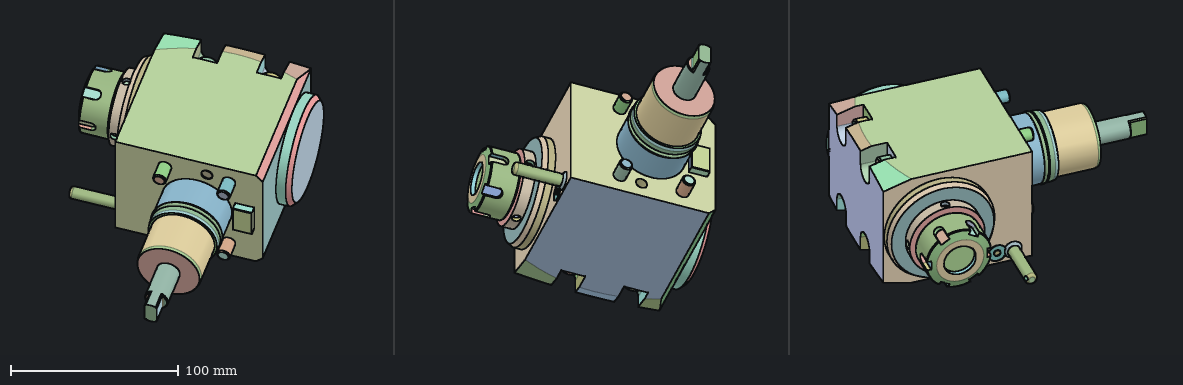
import cadquery as cq
import math


HOUSING_LEFT = -51.3
HOUSING_RIGHT = 41.3
HOUSING_DEPTH = 95.0
HOUSING_HEIGHT = 78.0
LONG_EDGE_CHAMFER = 4.3
SPINDLE_Y = 60.0

RELIEF_ANGLE = 15
RELIEF_RADIUS = 372
RELIEF_CENTER_X = -3.5
RELIEF_EDGE_DROP = 1.77
RELIEF_LENGTH = 27.9

SCREW_X = 20.0
SCREW_Z = 27.3
SCREW_RADIUS = 4.0
SCREW_LENGTH = 11.5
SCREW_TIP_CHAMFER = 0.7
SCREW_HEAD_RADIUS = 6.5
SCREW_HEAD_LENGTH = 8.0
SCREW_HEAD_CHAMFER = 1.0
NOTCH_WIDTH = 15.3
NOTCH_DEPTH = 17.0

DOWEL_HOLE_X = 6.1
DOWEL_HOLE_Z = 28.8
DOWEL_HOLE_RADIUS = 3.5
UPPER_DOWEL_HOLE_DEPTH = 0.7
LOWER_DOWEL_HOLE_DEPTH = 7.5
KEY_LEFT = 24.0
KEY_WIDTH = 11.9
KEY_HEIGHT = 19.3
KEY_LENGTH = 4.8
KEY_CHAMFER = 0.4

FLANGE_RADIUS = 22.0
GROOVE_RADIUS = 19.9
ORING_START = 19.2
ORING_SECTION_RADIUS = 1.4
ORING_OUTER_RADIUS = 22.5
GROOVE_END = 22.7
BAND_END = 25.9
BAND_STEP_RADIUS = 21.5
BAND_STEP_END = 28.0
SHANK_RADIUS = 20.0
SHANK_END = 56.0
SHANK_CHAMFER = 2.0
SHANK_CHAMFER_DROP = 0.5

DRIVE_RADIUS = 7.3
DRIVE_END = 91.0
TANG_LENGTH = 11.0
TANG_THICKNESS = 7.8
TANG_EDGE_CHAMFER = 0.4
TANG_ROOT_FILLET = 0.7
DRIVE_SHOULDER_CHAMFER = 0.5

COVER_RADIUS = 34.5
LEFT_COVER_LENGTH = 8.0
LEFT_COVER_CHAMFER = 3.3
LEFT_COVER_CHAMFER_DROP = 1.7
RIGHT_COVER_LENGTH = 9.1
RIGHT_COVER_CHAMFER = 3.0

COLLAR_GAP = 0.5
COLLAR_RADIUS = 24.0
COLLAR_FRONT = -67.1
NECK_RADIUS = 17.5
SPANNER_HOLE_RADIUS = 2.6
SPANNER_HOLE_DEPTH = 2.8
DRILL_POINT_ANGLE = 118
SPANNER_HOLE_X = -63.5
SPANNER_HOLES = 4

NUT_BACK = -68.0
NUT_FRONT = -88.7
NUT_RADIUS = 20.8
NUT_BACK_CHAMFER = 0.7
NUT_RIM_LENGTH = 0.7
NUT_RIM_RADIUS = 20.5
NUT_CONE_LENGTH = 1.7
NUT_FACE_RADIUS = 15.0
NUT_BORE_RADIUS = 10.2
NUT_BORE_DEPTH = 3.0
NUT_SLOTS = 6
SLOT_WIDTH = 6.3
SLOT_END_X = -76.3
SLOT_FLOOR_RADIUS = 17.9

NOZZLE_Y = 12.3
NOZZLE_Z = -31.0
NOZZLE_RADIUS = 3.9
NOZZLE_TIP = -83.5
NOZZLE_TIP_FILLET = 1.9
NOZZLE_BASE_RADIUS = 5.8
NOZZLE_BASE_LENGTH = 1.7
NOZZLE_BORE_RADIUS = 1.3
NOZZLE_BORE_LENGTH = 7.5
NOZZLE_BORE_X = -81.8
NOZZLE_BORE_OFFSET_Y = 2.8
NOZZLE_BORE_OFFSET_Z = 1.0
PLUG_Y = 22.3
PLUG_RADIUS = 5.8
PLUG_HEIGHT = 0.4
PLUG_SOCKET_RADIUS = 2.0
PLUG_SOCKET_DEPTH = 0.5

SIDES = (-1, 1)


def turned_along_x(profile):
    """Revolve (x, radius) points around the spindle axis."""
    outline = cq.Workplane("XY").polyline(profile).close()
    return outline.revolve(360, (0, 0, 0), (1, 0, 0)).translate((0, SPINDLE_Y, 0))


def turned_along_y(profile):
    """Revolve (radius, distance in front of the mounting face) points around the shank axis."""
    outline = cq.Workplane("XY").polyline([(r, -d) for r, d in profile]).close()
    return outline.revolve(360, (0, 0, 0), (0, 1, 0))


def rod_x(radius, start, end, y, z):
    """Cylinder along X from x = start to x = end."""
    return cq.Workplane("YZ", origin=(start, y, z)).circle(radius).extrude(end - start)


def rod_y(radius, start, end, x, z):
    """Cylinder along Y from y = start to y = end."""
    return cq.Workplane("XZ", origin=(x, start, z)).circle(radius).extrude(start - end)


def make_relief_cone():
    """Cone about a Y axis below the housing, whose surface trims the top rear edge."""
    front_radius = RELIEF_RADIUS + RELIEF_LENGTH * math.tan(math.radians(RELIEF_ANGLE))
    profile = [
        (0, 0),
        (RELIEF_RADIUS, 0),
        (front_radius, -RELIEF_LENGTH),
        (0, -RELIEF_LENGTH),
    ]
    cone = cq.Workplane("XY").polyline(profile).close().revolve(360, (0, 0, 0), (0, 1, 0))
    axis_z = HOUSING_HEIGHT / 2 - RELIEF_EDGE_DROP - RELIEF_RADIUS
    return cone.translate((RELIEF_CENTER_X, HOUSING_DEPTH, axis_z))


def make_block():
    """Housing block with chamfered right edges, rear reliefs and screw notches."""
    width = HOUSING_RIGHT - HOUSING_LEFT
    block = (
        cq.Workplane("XY")
        .box(width, HOUSING_DEPTH, HOUSING_HEIGHT)
        .edges("|Y and >X")
        .chamfer(LONG_EDGE_CHAMFER)
        .translate(((HOUSING_LEFT + HOUSING_RIGHT) / 2, HOUSING_DEPTH / 2, 0))
    )
    front_part = block.intersect(
        cq.Workplane("XY")
        .box(2 * width, HOUSING_DEPTH, 2 * HOUSING_HEIGHT)
        .translate((0, HOUSING_DEPTH / 2 - RELIEF_LENGTH, 0))
    )
    cone = make_relief_cone()
    rear_part = block.intersect(cone).intersect(cone.mirror("XY"))
    block = front_part.union(rear_part)
    for x_side in SIDES:
        for z_side in SIDES:
            block = block.cut(make_screw_notch(x_side, z_side))
    return block


def make_screw_notch(x_side, z_side):
    """Round-bottomed notch open to the rear and to the top or bottom."""
    x = x_side * SCREW_X
    z = z_side * SCREW_Z
    bottom_y = HOUSING_DEPTH - NOTCH_DEPTH
    round_end = rod_y(NOTCH_WIDTH / 2, bottom_y, HOUSING_DEPTH, x, z)
    opening = (
        cq.Workplane("XY")
        .box(NOTCH_WIDTH, NOTCH_DEPTH, SCREW_Z)
        .translate((x, bottom_y + NOTCH_DEPTH / 2, z + z_side * SCREW_Z / 2))
    )
    return round_end.union(opening)


def make_screw(x_side, z_side):
    """Mounting screw: threaded end in front of the housing and head in its notch."""
    x = x_side * SCREW_X
    z = z_side * SCREW_Z
    seat_y = HOUSING_DEPTH - NOTCH_DEPTH
    stud = rod_y(SCREW_RADIUS, -SCREW_LENGTH, seat_y, x, z).faces("<Y").chamfer(SCREW_TIP_CHAMFER)
    head = rod_y(SCREW_HEAD_RADIUS, seat_y, seat_y + SCREW_HEAD_LENGTH, x, z)
    return stud.union(head.faces(">Y").chamfer(SCREW_HEAD_CHAMFER))


def make_key():
    """Rectangular locating key on the mounting face."""
    key = cq.Workplane("XY").box(KEY_WIDTH, KEY_LENGTH, KEY_HEIGHT).faces("<Y").chamfer(KEY_CHAMFER)
    return key.translate((KEY_LEFT + KEY_WIDTH / 2, -KEY_LENGTH / 2, 0))


def make_dowel_holes():
    """Two diagonally opposite blind holes in the mounting face: a shallow upper and a deep lower one."""
    upper = rod_y(DOWEL_HOLE_RADIUS, 0, UPPER_DOWEL_HOLE_DEPTH, DOWEL_HOLE_X, DOWEL_HOLE_Z)
    lower = rod_y(DOWEL_HOLE_RADIUS, 0, LOWER_DOWEL_HOLE_DEPTH, -DOWEL_HOLE_X, -DOWEL_HOLE_Z)
    return upper.union(lower)


def make_shank():
    """Stepped shank with its sealing ring."""
    shank = turned_along_y([
        (0, 0),
        (FLANGE_RADIUS, 0),
        (FLANGE_RADIUS, ORING_START),
        (GROOVE_RADIUS, ORING_START),
        (GROOVE_RADIUS, GROOVE_END),
        (FLANGE_RADIUS, GROOVE_END),
        (FLANGE_RADIUS, BAND_END),
        (BAND_STEP_RADIUS, BAND_STEP_END),
        (SHANK_RADIUS, BAND_STEP_END),
        (SHANK_RADIUS, SHANK_END - SHANK_CHAMFER),
        (SHANK_RADIUS - SHANK_CHAMFER_DROP, SHANK_END),
        (0, SHANK_END),
    ])
    section_x = ORING_OUTER_RADIUS - ORING_SECTION_RADIUS
    oring = (
        cq.Workplane("XY")
        .center(-section_x, -ORING_START - ORING_SECTION_RADIUS)
        .circle(ORING_SECTION_RADIUS)
        .revolve(360, (section_x, 0, 0), (section_x, 1, 0))
    )
    return shank.union(oring)


def make_drive_shaft():
    """Drive shaft ending in a flat tang."""
    shoulder = DRIVE_END - TANG_LENGTH
    shaft = rod_y(DRIVE_RADIUS, -shoulder, -SHANK_END, 0, 0)
    shaft = shaft.faces("<Y").chamfer(DRIVE_SHOULDER_CHAMFER)
    tang_root = shoulder - DRIVE_RADIUS
    tang = rod_y(DRIVE_RADIUS, -DRIVE_END, -tang_root, 0, 0).intersect(make_tang_flats())
    shaft = shaft.union(tang)
    root_edges = cq.selectors.BoxSelector(
        (-TANG_THICKNESS, -shoulder - TANG_ROOT_FILLET, -DRIVE_RADIUS / 2),
        (TANG_THICKNESS, -shoulder + TANG_ROOT_FILLET, DRIVE_RADIUS / 2),
    )
    return shaft.edges(root_edges).edges("|Z").fillet(TANG_ROOT_FILLET)


def make_tang_flats():
    """Bar with chamfered long edges that gives the tang its flat sides."""
    length = TANG_LENGTH + DRIVE_RADIUS
    bar = cq.Workplane("XY").box(TANG_THICKNESS, length, 2 * DRIVE_RADIUS)
    half_width = math.sqrt(DRIVE_RADIUS**2 - (TANG_THICKNESS / 2) ** 2)
    chamfer = DRIVE_RADIUS - half_width + TANG_EDGE_CHAMFER
    return bar.edges("|Y").chamfer(chamfer).translate((0, length / 2 - DRIVE_END, 0))


def make_covers():
    """Chamfered round covers on the left and right faces."""
    left_end = HOUSING_LEFT - LEFT_COVER_LENGTH
    left = turned_along_x([
        (HOUSING_LEFT, 0),
        (HOUSING_LEFT, COVER_RADIUS),
        (left_end + LEFT_COVER_CHAMFER, COVER_RADIUS),
        (left_end, COVER_RADIUS - LEFT_COVER_CHAMFER_DROP),
        (left_end, 0),
    ])
    right_end = HOUSING_RIGHT + RIGHT_COVER_LENGTH
    right = rod_x(COVER_RADIUS, HOUSING_RIGHT, right_end, SPINDLE_Y, 0)
    return left.union(right.faces(">X").chamfer(RIGHT_COVER_CHAMFER))


def make_collar():
    """Spindle collar with spanner holes and a neck at each side."""
    cover_face = HOUSING_LEFT - LEFT_COVER_LENGTH
    collar_back = cover_face - COLLAR_GAP
    collar = rod_x(NECK_RADIUS, NUT_BACK, cover_face, SPINDLE_Y, 0)
    collar = collar.union(rod_x(COLLAR_RADIUS, COLLAR_FRONT, collar_back, SPINDLE_Y, 0))
    hole = make_spanner_hole()
    for i in range(SPANNER_HOLES):
        collar = collar.cut(turn_about_spindle(hole, i * 360 / SPANNER_HOLES))
    return collar


def make_spanner_hole():
    """Drilled hole with a conical bottom, in the top of the collar."""
    point_depth = SPANNER_HOLE_RADIUS / math.tan(math.radians(DRILL_POINT_ANGLE / 2))
    profile = [
        (0, COLLAR_RADIUS),
        (SPANNER_HOLE_RADIUS, COLLAR_RADIUS),
        (SPANNER_HOLE_RADIUS, COLLAR_RADIUS - SPANNER_HOLE_DEPTH),
        (0, COLLAR_RADIUS - SPANNER_HOLE_DEPTH - point_depth),
    ]
    outline = cq.Workplane("XZ").polyline(profile).close()
    return outline.revolve(360, (0, 0, 0), (0, 1, 0)).translate((SPANNER_HOLE_X, SPINDLE_Y, 0))


def turn_about_spindle(shape, angle):
    """Turn a shape about the spindle axis."""
    return shape.rotate((0, SPINDLE_Y, 0), (1, SPINDLE_Y, 0), angle)


def make_nozzle():
    """Coolant nozzle on a conical base, with a slanted bore in its tip."""
    tube = rod_x(NOZZLE_RADIUS, NOZZLE_TIP, HOUSING_LEFT, NOZZLE_Y, NOZZLE_Z)
    tube = tube.faces("<X").edges().fillet(NOZZLE_TIP_FILLET)
    base = (
        cq.Workplane("YZ", origin=(HOUSING_LEFT, NOZZLE_Y, NOZZLE_Z))
        .circle(NOZZLE_BASE_RADIUS)
        .workplane(offset=-NOZZLE_BASE_LENGTH)
        .circle(NOZZLE_RADIUS)
        .loft()
    )
    return tube.union(base).cut(make_nozzle_bore())


def make_nozzle_bore():
    """Blind spray bore, slanted outwards through the rounded edge of the nozzle tip."""
    mouth = cq.Vector(
        NOZZLE_BORE_X,
        NOZZLE_Y + NOZZLE_BORE_OFFSET_Y,
        NOZZLE_Z + NOZZLE_BORE_OFFSET_Z,
    )
    outwards = cq.Vector(-NOZZLE_BORE_OFFSET_Y, NOZZLE_BORE_OFFSET_Y, NOZZLE_BORE_OFFSET_Z).normalized()
    start = mouth - outwards * (NOZZLE_BORE_LENGTH / 2)
    return cq.Workplane(cq.Solid.makeCylinder(NOZZLE_BORE_RADIUS, NOZZLE_BORE_LENGTH, start, outwards))


def make_plug():
    """Low round plug beside the nozzle."""
    return rod_x(PLUG_RADIUS, HOUSING_LEFT - PLUG_HEIGHT, HOUSING_LEFT, PLUG_Y, NOZZLE_Z)


def make_plug_socket():
    """Round socket in the middle of the plug."""
    front_x = HOUSING_LEFT - PLUG_HEIGHT
    return rod_x(PLUG_SOCKET_RADIUS, front_x, front_x + PLUG_SOCKET_DEPTH, PLUG_Y, NOZZLE_Z)


def make_housing():
    """Everything except the collet nut, as one solid."""
    housing = make_block().cut(make_dowel_holes())
    housing = housing.union(make_shank()).union(make_drive_shaft()).union(make_key())
    housing = housing.union(make_covers()).union(make_collar())
    housing = housing.union(make_nozzle()).union(make_plug())
    for x_side in SIDES:
        for z_side in SIDES:
            housing = housing.union(make_screw(x_side, z_side))
    return housing.cut(make_plug_socket())


def make_nut_slot():
    """Round-ended, flat-bottomed wrench slot on the +Y side of the nut."""
    floor_y = SPINDLE_Y + SLOT_FLOOR_RADIUS
    arc_x = SLOT_END_X - SLOT_WIDTH / 2
    half = SLOT_WIDTH / 2
    outline = (
        cq.Workplane("XZ", origin=(0, floor_y, 0))
        .moveTo(NUT_FRONT, -half)
        .lineTo(arc_x, -half)
        .threePointArc((SLOT_END_X, 0), (arc_x, half))
        .lineTo(NUT_FRONT, half)
        .close()
    )
    return outline.extrude(-NUT_RADIUS)


def make_nut():
    """Collet nut with a recessed front and wrench slots around its rim."""
    cone_back = NUT_FRONT + NUT_CONE_LENGTH
    nut = turned_along_x([
        (NUT_BACK, 0),
        (NUT_BACK, NUT_RADIUS - NUT_BACK_CHAMFER),
        (NUT_BACK - NUT_BACK_CHAMFER, NUT_RADIUS),
        (cone_back + NUT_RIM_LENGTH, NUT_RADIUS),
        (cone_back, NUT_RIM_RADIUS),
        (NUT_FRONT, NUT_FACE_RADIUS),
        (NUT_FRONT, NUT_BORE_RADIUS),
        (NUT_FRONT + NUT_BORE_DEPTH, NUT_BORE_RADIUS),
        (NUT_FRONT + NUT_BORE_DEPTH, 0),
    ])
    slot = make_nut_slot()
    for i in range(NUT_SLOTS):
        nut = nut.cut(turn_about_spindle(slot, i * 360 / NUT_SLOTS))
    return nut


housing = make_housing()
nut = make_nut()
result = cq.Compound.makeCompound([housing.solids().val(), nut.solids().val()])